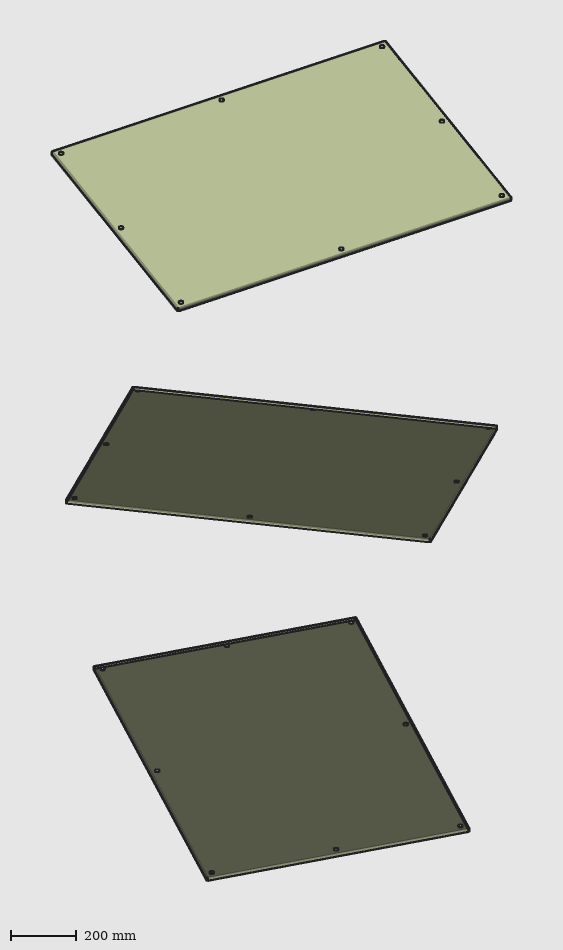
import cadquery as cq

length_x = 838.2
length_y = 1143.0
height = 12.7

sheet_thickness = 2.657
inner_bend_radius = 1.588
bend_radius = inner_bend_radius + sheet_thickness
corner_notch = 3.97

hole_diameter = 14.29
hole_inset = 23.4


def round_topped_block(size_x, size_y, size_z, radius):
    """Block standing on Z = 0 with its four top edges rounded."""
    block = cq.Workplane("XY").box(size_x, size_y, size_z, centered=(True, True, False))
    return block.faces(">Z").edges().fillet(radius)


def folded_sheet():
    """Flat sheet with a flange bent down along each of its four sides."""
    outside = round_topped_block(length_x, length_y, height, bend_radius)
    inside = round_topped_block(
        length_x - 2 * sheet_thickness,
        length_y - 2 * sheet_thickness,
        height - sheet_thickness,
        inner_bend_radius,
    )
    return outside.cut(inside)


def corner_notches():
    """Square columns that part neighbouring flanges at the four corners."""
    return (
        cq.Workplane("XY")
        .rect(length_x, length_y, forConstruction=True)
        .vertices()
        .rect(2 * corner_notch, 2 * corner_notch)
        .extrude(height)
    )


def mounting_holes():
    """Holes on a three by three grid without the middle one."""
    spacing_x = length_x / 2 - hole_inset
    spacing_y = length_y / 2 - hole_inset
    centres = [
        (column * spacing_x, row * spacing_y)
        for column in (-1, 0, 1)
        for row in (-1, 0, 1)
        if (column, row) != (0, 0)
    ]
    return cq.Workplane("XY").pushPoints(centres).circle(hole_diameter / 2).extrude(height)


result = folded_sheet().cut(corner_notches()).cut(mounting_holes())